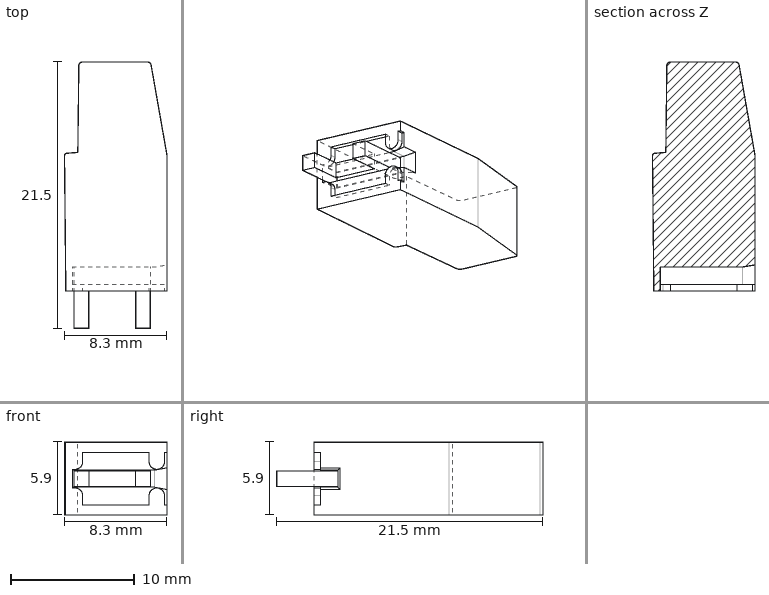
import cadquery as cq
import math

height = 5.9
length = 18.5
right_x = 4.15
shoulder_y = 11.12
shoulder_rise = 0.09
shoulder_x = -4.15
front_left_x = -4.05
neck_base_x = -3.07
neck_end_x = -2.99
taper_start_y = 10.92
taper_angle = 10.0
neck_end_radius = 0.3
shoulder_radius = 0.22

pocket_depth = 0.54
pocket_half_height = 2.1
pocket_left_x = -2.67
lip_left_x = 2.69
lip_radius = 0.62
lip_right_x = lip_left_x + 2 * lip_radius
lip_gap_half = 0.75

slot_left_x = -3.5
slot_right_x = 3.14
slot_half_height = 0.69
slot_depth = 1.94
flare_half_height = 0.88
flare_depth = 2.1

contact_left_x = -3.38
contact_right_x = 2.8
contact_height = 1.27
leg_width = 1.2
leg_length = 3.0


def make_housing():
    taper_run = (length - taper_start_y) * math.tan(math.radians(taper_angle))
    outline = [
        (front_left_x, 0),
        (right_x, 0),
        (right_x, taper_start_y),
        (right_x - taper_run, length),
        (neck_end_x, length),
        (neck_base_x, shoulder_y + shoulder_rise),
        (shoulder_x, shoulder_y),
    ]
    block = (
        cq.Workplane("XY")
        .workplane(offset=-height / 2)
        .polyline(outline)
        .close()
        .extrude(height)
    )
    block = block.edges("|Z and >Y").fillet(neck_end_radius)
    return block.edges("|Z and <X").fillet(shoulder_radius)


def front_plane(depth=0.0):
    """Plane parallel to the front face, at the given depth inside the housing."""
    return cq.Workplane("XZ", origin=(0, depth, 0))


def half_pocket(side):
    """Pocket above (side = 1) or below (side = -1) the mid-height plane."""
    gap = side * lip_gap_half
    round_start = side * (lip_gap_half + lip_radius)
    top = side * pocket_half_height
    bend = lip_radius * math.sqrt(0.5)
    round_mid = round_start - side * bend
    ledge_x = pocket_left_x - lip_radius
    lip_mid_x = lip_left_x + lip_radius
    return (
        front_plane()
        .moveTo(slot_left_x, 0)
        .lineTo(slot_left_x, gap)
        .lineTo(ledge_x, gap)
        .threePointArc((ledge_x + bend, round_mid), (pocket_left_x, round_start))
        .lineTo(pocket_left_x, top)
        .lineTo(lip_left_x, top)
        .lineTo(lip_left_x, round_start)
        .threePointArc((lip_mid_x, gap), (lip_right_x, round_start))
        .lineTo(lip_right_x, top)
        .lineTo(right_x, top)
        .lineTo(right_x, 0)
        .close()
        .extrude(-pocket_depth)
    )


def make_slot():
    straight = (
        front_plane()
        .moveTo(slot_left_x, -slot_half_height)
        .lineTo(slot_right_x, -slot_half_height)
        .lineTo(slot_right_x, slot_half_height)
        .lineTo(slot_left_x, slot_half_height)
        .close()
        .extrude(-slot_depth)
    )
    flare = (
        front_plane(pocket_depth)
        .moveTo(slot_right_x, -slot_half_height)
        .lineTo(right_x, -flare_half_height)
        .lineTo(right_x, flare_half_height)
        .lineTo(slot_right_x, slot_half_height)
        .close()
        .extrude(pocket_depth - flare_depth)
    )
    floor_slope = (
        cq.Workplane("XY")
        .polyline([(slot_right_x, slot_depth), (right_x, flare_depth), (slot_right_x, flare_depth)])
        .close()
        .extrude(flare_half_height, both=True)
    )
    return straight.union(flare.cut(floor_slope))


def make_contact():
    outline = [
        (contact_left_x, slot_depth),
        (contact_left_x, -leg_length),
        (contact_left_x + leg_width, -leg_length),
        (contact_left_x + leg_width, 0),
        (contact_right_x - leg_width, 0),
        (contact_right_x - leg_width, -leg_length),
        (contact_right_x, -leg_length),
        (contact_right_x, slot_depth),
    ]
    return cq.Workplane("XY").polyline(outline).close().extrude(contact_height / 2, both=True)


housing = make_housing()
for side in (1, -1):
    housing = housing.cut(half_pocket(side))
housing = housing.cut(make_slot())

result = housing.union(make_contact())